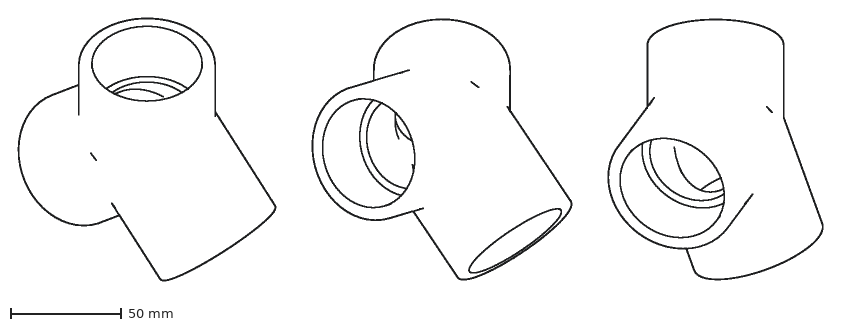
import cadquery as cq

outer_diameter = 62.0
socket_diameter = 50.0
bore_diameter = 42.6
top_arm_length = 42.0
leg_length = 61.0
socket_depth = 31.0
rim_fillet = 1.0
shoulder_fillet = 1.0
crotch_fillet = 2.0
leg_tilt = 135.0

arms = [(top_arm_length, 0.0), (leg_length, leg_tilt), (leg_length, -leg_tilt)]


def along_arm(shape, tilt):
    """Turn a shape built along +Z about the meeting point of the axes."""
    return shape.rotate((0, 0, 0), (0, 1, 0), tilt)


def cylinder(diameter, start, end):
    """Cylinder on the Z axis between two heights."""
    return cq.Workplane("XY").workplane(offset=start).circle(diameter / 2).extrude(end - start)


def arm_body(length, tilt):
    """Solid arm with a rounded rim, starting at the meeting point."""
    body = cylinder(outer_diameter, 0, length).faces(">Z").edges().fillet(rim_fillet)
    return along_arm(body, tilt)


def arm_cavity(length, tilt):
    """Through bore with a wider pipe socket at the arm's end."""
    bore = cylinder(bore_diameter, 0, length)
    socket = cylinder(socket_diameter, length - socket_depth, length)
    return along_arm(bore.union(socket), tilt)


def joined_arms():
    """The three solid arms, blended along the half-ellipse seams between them."""
    body = arm_body(*arms[0])
    for arm in arms[1:]:
        body = body.union(arm_body(*arm))
    body = body.edges("%ELLIPSE").edges("<Z").fillet(crotch_fillet)
    return body.edges("%ELLIPSE").fillet(shoulder_fillet)


result = joined_arms()
for arm in arms:
    result = result.cut(arm_cavity(*arm))